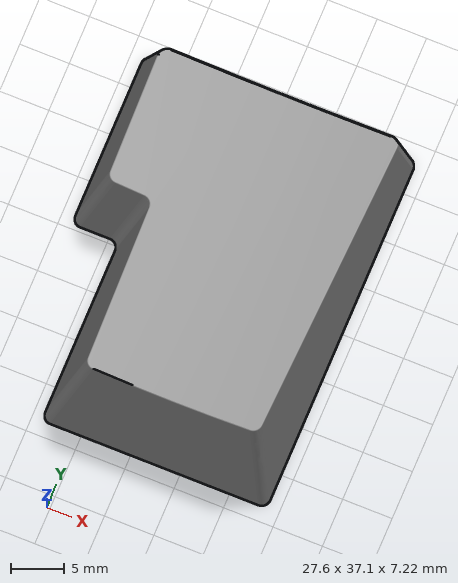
import cadquery as cq
import math

width = 27.55
length = 37.1
notch_width = 4.75
notch_length = 19.0

side_lean = 20.0
front_lean = 31.0
corner_radius = 1.0

front_height = 7.25
top_slope = 5.0
dish_radius = 207.75
dish_center_x = (notch_width + width) / 2
top_edge_radius = 0.1

blank_height = 9.28


def outline(height):
    """Corner points of the walls at the given height."""
    side_inset = height * math.tan(math.radians(side_lean))
    front_inset = height * math.tan(math.radians(front_lean))
    left = side_inset
    right = width - side_inset
    step_x = notch_width + side_inset
    step_y = notch_length + front_inset
    return [
        (step_x, front_inset),
        (right, front_inset),
        (right, length),
        (left, length),
        (left, step_y),
        (step_x, step_y),
    ]


def leaning_body():
    """Solid with flat leaning walls and rounded corners between them."""
    body = (
        cq.Workplane("XY")
        .polyline(outline(0)).close()
        .workplane(offset=blank_height)
        .polyline(outline(blank_height)).close()
        .loft(ruled=True)
    )
    wall_corners = body.edges("not(#Z)")
    return wall_corners.fillet(corner_radius)


def dish_cutter():
    """Long cylinder whose lowest line is the trough of the dish."""
    top_y = front_height * math.tan(math.radians(front_lean))
    front_half_width = dish_center_x - outline(front_height)[0][0]
    sag = dish_radius - math.sqrt(dish_radius**2 - front_half_width**2)
    trough_height = front_height - sag
    slope = math.radians(top_slope)
    along = cq.Vector(0, math.cos(slope), -math.sin(slope))
    up = cq.Vector(0, math.sin(slope), math.cos(slope))
    trough_front = cq.Vector(dish_center_x, top_y, trough_height)
    start = trough_front + up * dish_radius - along * length
    return cq.Solid.makeCylinder(dish_radius, 3 * length, start, along)


dished = leaning_body().cut(cq.Workplane(obj=dish_cutter()))
dish_face = dished.faces(">Z")
result = dish_face.edges().fillet(top_edge_radius)